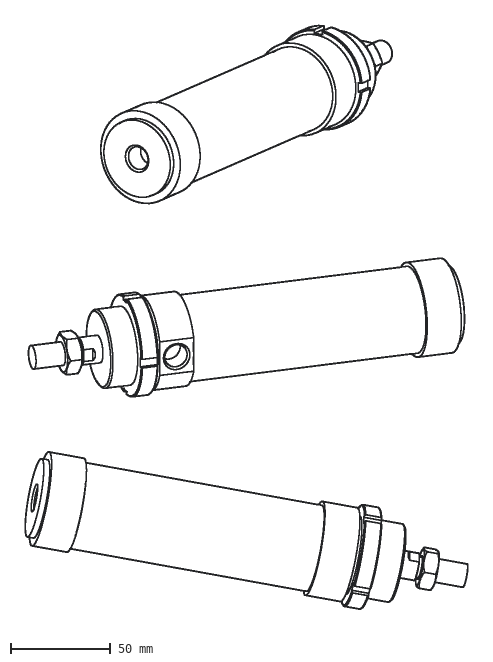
import cadquery as cq
import math

overall_length = 222.0

boss_length = 3.0
cap_length = 18.0
collar_length = 18.0
collar_front = 162.0
collar_rear = collar_front - collar_length
nose_front = 187.0
nose_dia = 40.0
tube_dia = 44.0
cap_dia = 48.0
nose_chamfer = 0.9

port_dia = 11.8
port_rim_dia = 14.0
port_chamfer = (port_rim_dia - port_dia) / 2
rear_port_depth = 12.0
drill_angle = 118.0
collar_flat_x = 22.2
side_port_depth = 12.0
side_port_y = (collar_front + collar_rear) / 2

ring_dia = 52.0
ring_thickness = 8.9
ring_rear = 164.0
ring_chamfer = 0.55
slot_count = 4
slot_width = 4.7
slot_floor_radius = 24.0

rod_dia = 14.0
rod_flat_width = 12.5
thread_dia = 12.0
relief_dia = 10.7
shoulder_front = 197.0
flat_length = 4.9
flat_runout_length = 1.0

nut_rear = 198.7
nut_thickness = 7.8
nut_across_flats = 19.0
nut_across_corners = nut_across_flats / math.cos(math.pi / 6)
nut_face_dia = 18.6
nut_face_angle = 30.0


def axial_cylinder(diameter, y_start, y_end):
    """Solid cylinder about the Y axis between two positions."""
    return (
        cq.Workplane("XZ", origin=(0, y_start, 0))
        .circle(diameter / 2)
        .extrude(-(y_end - y_start))
    )


def make_rear_port():
    """Blind chamfered port with a drill-point floor, as a cutting solid."""
    bore_radius = port_dia / 2
    point_length = bore_radius / math.tan(math.radians(drill_angle / 2))
    return (
        cq.Workplane("XY")
        .polyline([
            (0, 0),
            (port_rim_dia / 2, 0),
            (bore_radius, port_chamfer),
            (bore_radius, rear_port_depth),
            (0, rear_port_depth + point_length),
        ])
        .close()
        .revolve(360, (0, 0, 0), (0, 1, 0))
    )


def make_side_port():
    """Blind flat-floored port with a chamfered rim, entering along +X, as a cutting solid."""
    mouth = cq.Workplane("YZ", origin=(-collar_flat_x, side_port_y, 0))
    bore = mouth.circle(port_dia / 2).extrude(side_port_depth)
    rim = cq.Solid.makeCone(
        port_rim_dia / 2, port_dia / 2, port_chamfer,
        cq.Vector(-collar_flat_x, side_port_y, 0), cq.Vector(1, 0, 0),
    )
    return bore.union(cq.Workplane(rim))


def make_housing():
    """Tube with its rear cap, front collar and nose."""
    cap_front = boss_length + cap_length
    nose = axial_cylinder(nose_dia, collar_front, nose_front).faces(">Y").chamfer(nose_chamfer)
    housing = (
        axial_cylinder(nose_dia, 0, boss_length)
        .union(axial_cylinder(cap_dia, boss_length, cap_front))
        .union(axial_cylinder(tube_dia, cap_front, collar_rear))
        .union(axial_cylinder(cap_dia, collar_rear, collar_front))
        .union(nose)
    )
    flat_cut = (
        cq.Workplane("XY", origin=(-collar_flat_x - cap_dia, collar_rear, 0))
        .box(cap_dia, collar_length, cap_dia, centered=(False, False, True))
    )
    return housing.cut(flat_cut).cut(make_side_port()).cut(make_rear_port())


def make_ring_nut():
    """Round nut with wrench slots at the four quarter points of its rim."""
    ring_front = ring_rear + ring_thickness
    disc = axial_cylinder(ring_dia, ring_rear, ring_front).faces("<Y or >Y").chamfer(ring_chamfer)
    ring = disc.cut(axial_cylinder(nose_dia, ring_rear, ring_front))
    slot = (
        cq.Workplane("XY", origin=(slot_floor_radius, ring_rear, 0))
        .box(ring_dia, ring_thickness, slot_width, centered=(False, False, True))
    )
    for index in range(slot_count):
        ring = ring.cut(slot.rotate((0, 0, 0), (0, 1, 0), index * 360 / slot_count))
    return ring


def make_rod():
    """Rod with two wrench flats that slope out at their rear, a thread relief and a threaded end."""
    half_flat = rod_flat_width / 2
    half_round = rod_dia / 2
    flat_rear = shoulder_front - flat_length
    runout_rear = flat_rear - flat_runout_length
    flats_envelope = (
        cq.Workplane("XY")
        .polyline([
            (-half_round, nose_front),
            (half_round, nose_front),
            (half_round, runout_rear),
            (half_flat, flat_rear),
            (half_flat, shoulder_front),
            (-half_flat, shoulder_front),
            (-half_flat, flat_rear),
            (-half_round, runout_rear),
        ])
        .close()
        .extrude(half_round, both=True)
    )
    shoulder = axial_cylinder(rod_dia, nose_front, shoulder_front).intersect(flats_envelope)
    return (
        shoulder
        .union(axial_cylinder(relief_dia, shoulder_front, nut_rear))
        .union(axial_cylinder(thread_dia, nut_rear, overall_length))
    )


def make_rod_nut():
    """Hexagonal nut with corners on the X axis and conical chamfers on both faces."""
    corner_radius = nut_across_corners / 2
    face_radius = nut_face_dia / 2
    corner_drop = (corner_radius - face_radius) * math.tan(math.radians(nut_face_angle))
    nut_front = nut_rear + nut_thickness
    hexagon = (
        cq.Workplane("XZ", origin=(0, nut_rear, 0))
        .polygon(6, nut_across_corners)
        .extrude(-nut_thickness)
    )
    chamfer_envelope = (
        cq.Workplane("XY")
        .polyline([
            (0, nut_rear),
            (face_radius, nut_rear),
            (corner_radius, nut_rear + corner_drop),
            (corner_radius, nut_front - corner_drop),
            (face_radius, nut_front),
            (0, nut_front),
        ])
        .close()
        .revolve(360, (0, 0, 0), (0, 1, 0))
    )
    return hexagon.intersect(chamfer_envelope).cut(axial_cylinder(thread_dia, nut_rear, nut_front))


housing = make_housing()
ring_nut = make_ring_nut()
rod = make_rod()
rod_nut = make_rod_nut()

result = cq.Compound.makeCompound([housing.val(), ring_nut.val(), rod.val(), rod_nut.val()])